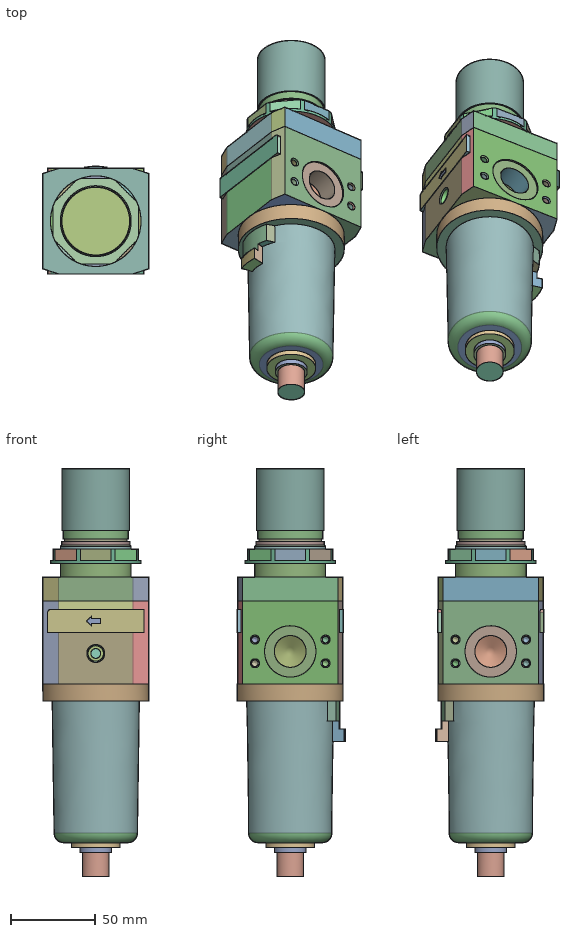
import cadquery as cq
import math


total_height = 242.2
stem_top = 14.3
drain_collar_top = 17.2
bowl_bottom = 20.0
skirt_bottom = 104.1
block_bottom = 114.3
bonnet_bottom = 163.7
bonnet_top = 177.8
nut_flange_bottom = 185.8
nut_flange_top = 187.7
nut_top = 194.5
neck_chamfer_bottom = 196.0
neck_chamfer_top = 197.0
rim_top = 199.0
knob_skirt_bottom = 200.5
knob_skirt_top = 205.5

block_half_x = 31.5
block_half_y = 31.2
flat_half_x = 22.0
flat_half_y = 28.3

neck_radius = 21.0
rim_radius = 20.3
spindle_radius = 18.6
knob_skirt_radius = 19.4
knob_radius = 20.0
nut_sides = 8
nut_across_flats = 50.5
nut_flange_radius = 27.0

skirt_radius = 31.5
plate_half_x = 28.5
plate_face_y = 31.5
plate_bottom = 144.8
plate_top = 158.6
plate_corner_radius = 2.0
plate_root_depth = 4.8

arrow_tip_x = -5.5
arrow_head_length = 3.1
arrow_length = 8.5
arrow_head_half_width = 3.0
arrow_shaft_half_width = 1.57
arrow_depth = 0.2

port_z = 133.7
port_radius = 9.5
port_depth = 14.5
port_cone_height = 5.3
port_face_radius = 15.3
port_face_depth = 1.0
mount_spacing_y = 42.0
mount_spacing_z = 14.0
mount_mouth_radius = 2.7
mount_hole_radius = 2.0
mount_chamfer_depth = 0.7
mount_hole_depth = 4.8
mount_cone_height = 1.5

gauge_z = 132.5
gauge_mouth_radius = 5.3
gauge_radius = 4.5
gauge_chamfer_depth = 0.7
gauge_depth = 3.6
gauge_pilot_radius = 3.0
gauge_pilot_depth = 7.3

bowl_top_radius = 26.0
bowl_base_radius = 24.7
bowl_corner_radius = 5.8
drain_flange_radius = 14.5
drain_collar_radius = 9.5
drain_stem_radius = 8.0

latch_pad_radius = 29.5
latch_pad_bottom = 92.3
latch_pad_outer_half_x = 11.9
latch_pad_outer_y = 27.0
latch_pad_inner_half_x = 13.3
latch_pad_inner_y = 22.3
lever_radius = 32.7
lever_outer_half_x = 6.5
lever_bottom = 80.2
lever_step = 87.7


def cylinder(radius, bottom, top):
    return cq.Workplane("XY").workplane(offset=bottom).circle(radius).extrude(top - bottom)


def block(bottom, top):
    """Square prism whose front and back faces slope away towards the corners."""
    return (
        cq.Workplane("XY")
        .workplane(offset=bottom)
        .polyline([
            (-block_half_x, -flat_half_y),
            (-flat_half_x, -block_half_y),
            (flat_half_x, -block_half_y),
            (block_half_x, -flat_half_y),
            (block_half_x, flat_half_y),
            (flat_half_x, block_half_y),
            (-flat_half_x, block_half_y),
            (-block_half_x, flat_half_y),
        ])
        .close()
        .extrude(top - bottom)
    )


def panel_nut():
    """Octagon with rounded corners on a round flange."""
    octagon = (
        cq.Workplane("XY")
        .workplane(offset=nut_flange_top)
        .polygon(nut_sides, nut_across_flats, circumscribed=True)
        .extrude(nut_top - nut_flange_top)
    )
    corners = cylinder(nut_flange_radius, nut_flange_top, nut_top)
    flange = cylinder(nut_flange_radius, nut_flange_bottom, nut_flange_top)
    return octagon.intersect(corners).union(flange)


def neck_and_knob():
    """Turned neck, rim, spindle and knob above the bonnet block."""
    return (
        cq.Workplane("XZ")
        .polyline([
            (0, bonnet_top),
            (neck_radius, bonnet_top),
            (neck_radius, neck_chamfer_bottom),
            (rim_radius, neck_chamfer_top),
            (rim_radius, rim_top),
            (spindle_radius, rim_top),
            (spindle_radius, knob_skirt_bottom),
            (knob_skirt_radius, knob_skirt_bottom),
            (knob_skirt_radius, knob_skirt_top),
            (knob_radius, knob_skirt_top),
            (knob_radius, total_height),
            (0, total_height),
        ])
        .close()
        .revolve(360, (0, 0), (0, 1))
    )


def make_bonnet():
    return block(bonnet_bottom, bonnet_top).union(neck_and_knob()).union(panel_nut())


def name_plate():
    """Front plate across the sloped corners, with its upper -X corner rounded."""
    return (
        cq.Workplane("XZ", origin=(0, -plate_face_y, 0))
        .moveTo(-plate_half_x, plate_bottom)
        .lineTo(plate_half_x, plate_bottom)
        .lineTo(plate_half_x, plate_top)
        .lineTo(-plate_half_x + plate_corner_radius, plate_top)
        .radiusArc((-plate_half_x, plate_top - plate_corner_radius), -plate_corner_radius)
        .close()
        .extrude(-plate_root_depth)
    )


def flow_arrow():
    """Shallow arrow cut in the front plate, pointing to -X."""
    neck_x = arrow_tip_x + arrow_head_length
    tail_x = arrow_tip_x + arrow_length
    arrow_z = (plate_bottom + plate_top) / 2
    return (
        cq.Workplane("XZ", origin=(0, -plate_face_y, arrow_z))
        .polyline([
            (arrow_tip_x, 0),
            (neck_x, arrow_head_half_width),
            (neck_x, arrow_shaft_half_width),
            (tail_x, arrow_shaft_half_width),
            (tail_x, -arrow_shaft_half_width),
            (neck_x, -arrow_shaft_half_width),
            (neck_x, -arrow_head_half_width),
        ])
        .close()
        .extrude(-arrow_depth)
    )


def mounting_hole(y, z):
    """Countersunk hole with a conical end, going in from the -X face along +X."""
    return (
        cq.Workplane("XY", origin=(-block_half_x, y, z))
        .polyline([
            (0, 0),
            (0, mount_mouth_radius),
            (mount_chamfer_depth, mount_hole_radius),
            (mount_hole_depth, mount_hole_radius),
            (mount_hole_depth + mount_cone_height, 0),
        ])
        .close()
        .revolve(360, (0, 0), (1, 0))
    )


def side_port():
    """Pipe port with its shallow sealing face and four mounting holes, on the -X face."""
    bore = (
        cq.Workplane("XY", origin=(-block_half_x, 0, port_z))
        .polyline([(0, 0), (0, port_radius), (port_depth, port_radius), (port_depth + port_cone_height, 0)])
        .close()
        .revolve(360, (0, 0), (1, 0))
    )
    sealing_face = (
        cq.Workplane("YZ", origin=(-block_half_x, 0, port_z))
        .circle(port_face_radius)
        .extrude(port_face_depth)
    )
    cutter = bore.union(sealing_face)
    for side_y in (-1, 1):
        for side_z in (-1, 1):
            hole_y = side_y * mount_spacing_y / 2
            hole_z = port_z + side_z * mount_spacing_z / 2
            cutter = cutter.union(mounting_hole(hole_y, hole_z))
    return cutter


def gauge_port():
    """Countersunk, stepped gauge port in the front face."""
    return (
        cq.Workplane("XY", origin=(0, -block_half_y, gauge_z))
        .polyline([
            (0, 0),
            (gauge_mouth_radius, 0),
            (gauge_radius, gauge_chamfer_depth),
            (gauge_radius, gauge_depth),
            (gauge_pilot_radius, gauge_depth),
            (gauge_pilot_radius, gauge_pilot_depth),
            (0, gauge_pilot_depth),
        ])
        .close()
        .revolve(360, (0, 0), (0, 1))
    )


def make_body():
    front_plate = name_plate()
    port = side_port()
    return (
        block(block_bottom, bonnet_bottom)
        .union(cylinder(skirt_radius, skirt_bottom, block_bottom))
        .union(front_plate)
        .union(front_plate.mirror("XZ"))
        .cut(flow_arrow())
        .cut(port)
        .cut(port.mirror("YZ"))
        .cut(gauge_port())
    )


def bowl_and_drain():
    """Tapered cup with a rounded bottom edge, and the stepped drain below it."""
    cup = (
        cq.Workplane("XZ")
        .polyline([
            (0, bowl_bottom),
            (bowl_base_radius, bowl_bottom),
            (bowl_top_radius, skirt_bottom),
            (0, skirt_bottom),
        ])
        .close()
        .revolve(360, (0, 0), (0, 1))
        .faces("<Z")
        .edges()
        .fillet(bowl_corner_radius)
    )
    return (
        cup.union(cylinder(drain_flange_radius, drain_collar_top, bowl_bottom))
        .union(cylinder(drain_collar_radius, stem_top, drain_collar_top))
        .union(cylinder(drain_stem_radius, 0, stem_top))
    )


def latch_pad():
    """Curved pad on the back of the bowl, narrowing slightly outwards."""
    taper = (latch_pad_inner_half_x - latch_pad_outer_half_x) / (latch_pad_inner_y - latch_pad_outer_y)
    tip_half_x = latch_pad_outer_half_x + taper * (latch_pad_radius - latch_pad_outer_y)
    root_half_x = latch_pad_inner_half_x - taper * latch_pad_inner_y
    return (
        cq.Workplane("XY")
        .workplane(offset=latch_pad_bottom)
        .polyline([
            (-root_half_x, 0),
            (root_half_x, 0),
            (tip_half_x, latch_pad_radius),
            (-tip_half_x, latch_pad_radius),
        ])
        .close()
        .extrude(skirt_bottom - latch_pad_bottom)
        .intersect(cylinder(latch_pad_radius, latch_pad_bottom, skirt_bottom))
    )


def lever_sector(radius, bottom, top):
    """Wedge of a cylinder pointing to +Y, with its straight sides through the axis."""
    half_angle = math.asin(lever_outer_half_x / lever_radius)
    edge_x = radius * math.sin(half_angle)
    edge_y = radius * math.cos(half_angle)
    return (
        cq.Workplane("XY")
        .workplane(offset=bottom)
        .lineTo(edge_x, edge_y)
        .threePointArc((0, radius), (-edge_x, edge_y))
        .close()
        .extrude(top - bottom)
    )


def make_bowl():
    return (
        bowl_and_drain()
        .union(latch_pad())
        .union(lever_sector(latch_pad_radius, lever_step, latch_pad_bottom))
        .union(lever_sector(lever_radius, lever_bottom, lever_step))
    )


bonnet = make_bonnet()
body = make_body()
bowl = make_bowl()

result = cq.Compound.makeCompound([bonnet.val(), body.val(), bowl.val()])